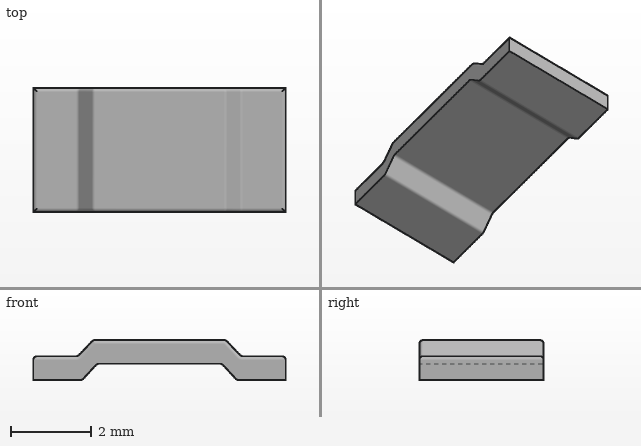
import cadquery as cq

LENGTH = 6.3
WIDTH = 3.1
HEIGHT = 1.0

TAB_THICKNESS = 0.6
RISE = HEIGHT - TAB_THICKNESS
BRIDGE_HALF_LENGTH = 1.65
UPPER_SLOPE_RUN = 0.385
ARCH_HALF_LENGTH = 1.555
LOWER_SLOPE_RUN = 0.37

ROUND_RADIUS = 0.1
SELECT_TOLERANCE = 0.005


def stepped_strip():
    """Sharp-cornered strip: two tabs joined by a raised bridge."""
    right_half = [
        (ARCH_HALF_LENGTH, RISE),
        (ARCH_HALF_LENGTH + LOWER_SLOPE_RUN, 0),
        (LENGTH / 2, 0),
        (LENGTH / 2, TAB_THICKNESS),
        (BRIDGE_HALF_LENGTH + UPPER_SLOPE_RUN, TAB_THICKNESS),
        (BRIDGE_HALF_LENGTH, HEIGHT),
    ]
    left_half = [(-x, z) for x, z in reversed(right_half)]
    return cq.Workplane("XZ").polyline(right_half + left_half).close().extrude(WIDTH / 2, both=True)


def edges_at_heights(body, direction, half_length, lowest, highest):
    """Edges along one direction, centred within half_length of the middle and between two heights."""
    box = cq.selectors.BoxSelector(
        (-half_length, -WIDTH, lowest - SELECT_TOLERANCE),
        (half_length, WIDTH, highest + SELECT_TOLERANCE),
    )
    return body.edges(direction).edges(box)


def round_inner_bends(strip):
    """Round the four bends of the underside and the two at the feet of the upper slopes."""
    inside_ends = LENGTH / 2 - SELECT_TOLERANCE
    bends = edges_at_heights(strip, "|Y", inside_ends, 0, TAB_THICKNESS)
    return bends.fillet(ROUND_RADIUS)


def round_top_edges(strip):
    """Round the upper rim together with the two bends at the crest of the bridge."""
    rim_ends = strip.faces("<X or >X").edges(">Z")
    rim_sides = edges_at_heights(strip, "|X", LENGTH, TAB_THICKNESS, HEIGHT)
    crest = strip.faces(">Z").edges("|Y")
    return rim_ends.add(rim_sides).add(crest).fillet(ROUND_RADIUS)


result = round_top_edges(round_inner_bends(stepped_strip()))